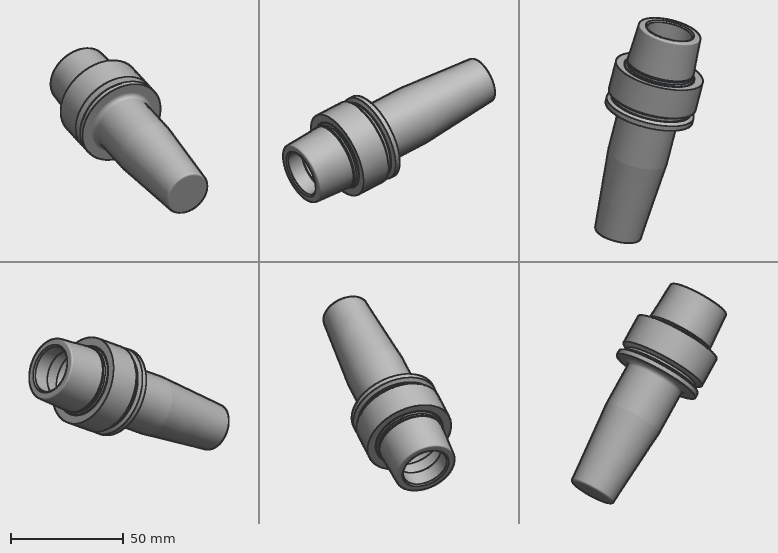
import cadquery as cq
import math

overall_length = 99.9
flange_start = 20.0
flange_end = 40.0
nose_taper_start = 61.9

shank_face_radius = 13.4
shank_small_radius = 14.2
shank_large_radius = 15.2
shank_edge_length = 0.7
shank_taper_end = 17.8
neck_radius = 14.9
neck_start = 18.6

relief_start = 19.7
relief_depth = 0.4
relief_inner_radius = 15.6
relief_outer_radius = 16.1

flange_radius = 20.0
groove_floor_radius = 17.4
groove_shoulder_radius = 18.2
groove_chamfer_length = 1.1
groove_left = 34.9
groove_floor_start = 35.1
groove_right = 36.6

nose_radius = 13.5
root_fillet = 2.0
nose_half_angle = 4.5
tip_fillet = 1.0

mouth_radius = 11.1
bore_radius = 10.4
mouth_chamfer_length = 0.7
inner_bore_radius = 9.8
bore_land_end = 8.0
undercut_radius = 12.7
undercut_start = 9.3
undercut_end = 15.7
bore_depth = 20.0
pilot_radius = 6.2
pilot_depth = 26.0
pilot_floor_radius = 5.0
pilot_cone_length = pilot_radius - pilot_floor_radius


def revolve_about_x(profile):
    """Close an (x, radius) profile and revolve it about the X axis."""
    return profile.close().revolve(360, (0, 0, 0), (1, 0, 0))


def make_body():
    taper_length = overall_length - nose_taper_start
    tip_radius = nose_radius - taper_length * math.tan(math.radians(nose_half_angle))
    relief_floor = flange_start + relief_depth
    shank_edge_drop = shank_small_radius - shank_face_radius
    diagonal = math.sqrt(0.5)
    edge_mid = (
        shank_edge_length * (1 - diagonal),
        shank_face_radius + shank_edge_drop * diagonal,
    )
    fillet_mid = (
        flange_end + root_fillet * (1 - diagonal),
        nose_radius + root_fillet * (1 - diagonal),
    )
    profile = (
        cq.Workplane("XY")
        .lineTo(0, shank_face_radius)
        .threePointArc(edge_mid, (shank_edge_length, shank_small_radius))
        .lineTo(shank_taper_end, shank_large_radius)
        .lineTo(neck_start, neck_radius)
        .lineTo(relief_start, neck_radius)
        .lineTo(relief_floor, relief_inner_radius)
        .lineTo(relief_floor, relief_outer_radius)
        .lineTo(flange_start, relief_outer_radius)
        .lineTo(flange_start, flange_radius)
        .lineTo(groove_left - groove_chamfer_length, flange_radius)
        .lineTo(groove_left, groove_shoulder_radius)
        .lineTo(groove_floor_start, groove_floor_radius)
        .lineTo(groove_right, groove_floor_radius)
        .lineTo(groove_right, groove_shoulder_radius)
        .lineTo(groove_right + groove_chamfer_length, flange_radius)
        .lineTo(flange_end, flange_radius)
        .lineTo(flange_end, nose_radius + root_fillet)
        .threePointArc(fillet_mid, (flange_end + root_fillet, nose_radius))
        .lineTo(nose_taper_start, nose_radius)
        .lineTo(overall_length, tip_radius)
        .lineTo(overall_length, 0)
    )
    return revolve_about_x(profile).faces(">X").edges().fillet(tip_fillet)


def make_bore():
    profile = (
        cq.Workplane("XY")
        .lineTo(0, mouth_radius)
        .lineTo(mouth_chamfer_length, bore_radius)
        .lineTo(bore_land_end, bore_radius)
        .lineTo(undercut_start, undercut_radius)
        .lineTo(undercut_end, undercut_radius)
        .lineTo(bore_depth, inner_bore_radius)
        .lineTo(bore_depth, pilot_radius)
        .lineTo(pilot_depth, pilot_radius)
        .lineTo(pilot_depth + pilot_cone_length, pilot_floor_radius)
        .lineTo(pilot_depth + pilot_cone_length, 0)
    )
    return revolve_about_x(profile)


result = make_body().cut(make_bore())